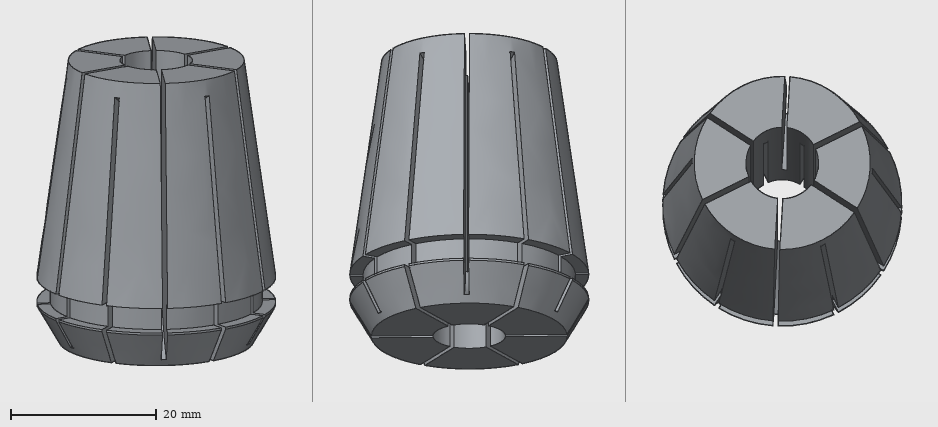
import cadquery as cq
import math

height = 40.0
outer_radius = 16.5
bore_radius = 5.0
taper_angle = 8.0
nose_angle = 30.0
taper_start_z = 9.0
rim_top_z = 5.5
rim_thickness = 0.3
groove_radius = 14.65

slit_count = 6
slit_width = 0.7
saw_radius = 22.0
top_saw_center = (22.1, 21.5)
bottom_saw_center = (23.0, 18.4)
slit_overrun = 1.0

rim_bottom_z = rim_top_z - rim_thickness
top_radius = outer_radius - (height - taper_start_z) * math.tan(math.radians(taper_angle))
bottom_radius = outer_radius - rim_bottom_z * math.tan(math.radians(nose_angle))


def make_body():
    """Double cone with an extraction groove and a through bore."""
    return (
        cq.Workplane("XZ")
        .moveTo(bore_radius, 0)
        .lineTo(bottom_radius, 0)
        .lineTo(outer_radius, rim_bottom_z)
        .lineTo(outer_radius, rim_top_z)
        .lineTo(groove_radius, rim_top_z)
        .lineTo(groove_radius, taper_start_z)
        .lineTo(outer_radius, taper_start_z)
        .lineTo(top_radius, height)
        .lineTo(bore_radius, height)
        .close()
        .revolve(360, (0, 0, 0), (0, 1, 0))
    )


def make_slit(saw_center, open_z, direction):
    """Radial slit along +X, open at open_z and closed by the saw's arc.

    direction is +1 when the open end is at the top and -1 when it is at the bottom.
    """
    center_r, center_z = saw_center
    inner_r = center_r - saw_radius
    arc_end_z = center_z - direction * saw_radius
    diagonal_offset = saw_radius * math.sqrt(0.5)
    arc_mid_r = center_r - diagonal_offset
    arc_mid_z = center_z - direction * diagonal_offset
    far_z = open_z + direction * slit_overrun
    return (
        cq.Workplane("XZ")
        .moveTo(inner_r, far_z)
        .lineTo(inner_r, center_z)
        .threePointArc((arc_mid_r, arc_mid_z), (center_r, arc_end_z))
        .lineTo(center_r, far_z)
        .close()
        .extrude(slit_width / 2, both=True)
    )


def cut_slits(body, slit, first_angle):
    """Cut evenly spaced copies of a slit around the axis."""
    pitch = 360 / slit_count
    for index in range(slit_count):
        body = body.cut(slit.rotate((0, 0, 0), (0, 0, 1), first_angle + index * pitch))
    return body


body = make_body()
body = cut_slits(body, make_slit(top_saw_center, height, 1), 0)
body = cut_slits(body, make_slit(bottom_saw_center, 0, -1), 180 / slit_count)
result = body